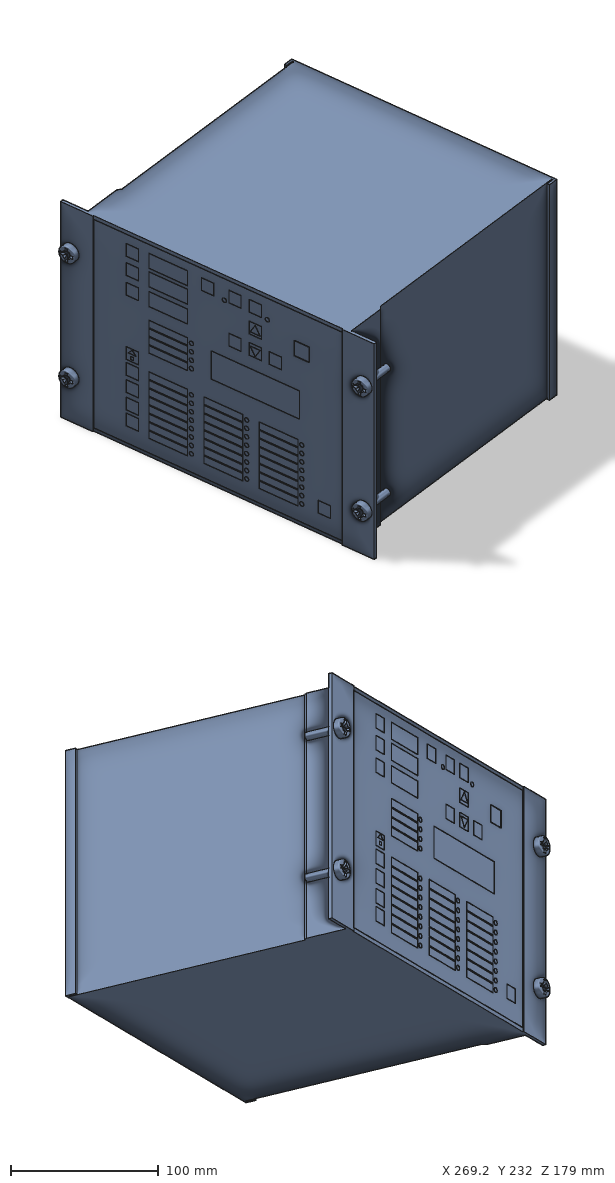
import cadquery as cq

head_height = 5.0
height = 179.0
body_width = 221.8
front_width = 226.0
front_depth = 34.2
front_taper = 3.0
flange_width = 269.2
flange_thickness = 2.7
case_depth = 232.0 - head_height

cover_width = 227.5
cover_thickness = 2.0
cover_lip_depth = 8.0
cover_inner_depth = case_depth - cover_thickness

channel_depth = 0.8
relief = 0.3
channel_width = 213.7
panel_width = 212.7
panel_height = 173.0
sheet_y = channel_depth - relief
key_face_y = sheet_y - relief
mark_face_y = key_face_y - relief

screw_x = 125.7
screw_z = 51.7
shank_diameter = 6.0
shank_end_y = 25.5
head_diameter = 14.0
head_rounding = 1.0
cross_length = 10.8
cross_width = 2.5
cross_depth = 2.7
recess_diameter = 7.0
recess_tip_diameter = 2.7

key_size = 10.5
left_key_x = -73.2
left_key_rows = [73.8, 58.0, 41.5, -11.8, -25.0, -39.3, -53.8, -67.0]
home_key_z = left_key_rows[3]
top_key_z = left_key_rows[0]
top_key_columns = [-8.5, 14.8, 32.3]
arrow_key_x = top_key_columns[2]
up_key_z = 55.7
down_key_z = 38.0
side_key_columns = [top_key_columns[1], 49.5]
corner_key_x = 91.5
corner_key_z = left_key_rows[-1]
large_key_x = 72.1
large_key_size = 12.7
large_key_relief = 0.5

arrow_width = 8.5
arrow_height = 7.0
arrow_base_offset = 3.0
home_roof_width = 6.7
home_roof_height = 3.5
home_roof_lift = 1.0
home_block_size = 2.5
home_block_drop = 2.2

readout_width = 33.0
readout_height = 12.5
readout_x = -42.5
readout_rows = [73.2, 58.0, 41.5]
display_width = 75.6
display_height = 23.5
display_x = arrow_key_x
display_z = 10.2

label_width = readout_width
label_height = 6.2
label_pitch = 7.0
label_column_pitch = 47.5
lamp_diameter = 3.5
lamp_offset = 20.0
upper_label_count = 4
upper_label_z = display_z
lower_label_count = 8
lower_label_z = -46.5
lower_label_columns = 3
key_lamp_positions = [(5.7, 69.0), (42.5, 69.0)]


def block(width, y_start, y_end, block_height=height, x=0, z=0):
    """Box centred on (x, z) and running from y_start to y_end."""
    size_y = y_end - y_start
    return cq.Workplane("XY").box(width, size_y, block_height).translate((x, y_start + size_y / 2, z))


def rod(diameter, y_start, y_end, x=0, z=0):
    """Cylinder along Y centred on (x, z)."""
    plane = cq.Workplane("XZ", origin=(x, y_start, z))
    return plane.circle(diameter / 2).extrude(y_start - y_end)


def make_case():
    """Body with its wider, tapered front end, and the mounting flange."""
    half_front = front_width / 2
    half_body = body_width / 2
    taper_end = front_depth + front_taper
    outline = [
        (-half_front, 0),
        (half_front, 0),
        (half_front, front_depth),
        (half_body, taper_end),
        (half_body, cover_inner_depth),
        (-half_body, cover_inner_depth),
        (-half_body, taper_end),
        (-half_front, front_depth),
    ]
    body = cq.Workplane("XY").polyline(outline).close().extrude(height / 2, both=True)
    return body.union(block(flange_width, 0, flange_thickness))


def make_cover():
    """Rear plate with a forward lip along each side."""
    lip_start = case_depth - cover_lip_depth
    cover = block(cover_width, lip_start, case_depth)
    return cover.cut(block(cover_width - 2 * cover_thickness, lip_start, cover_inner_depth))


def make_recess_cone(x, z):
    """Tapered centre of a screw's cross recess."""
    mouth = cq.Workplane("XZ", origin=(x, -head_height, z)).circle(recess_diameter / 2)
    return mouth.workplane(offset=-cross_depth).circle(recess_tip_diameter / 2).loft()


def make_screw(x, z):
    """Pan-head screw with a cross recess."""
    head = rod(head_diameter, -head_height, 0, x, z).faces("<Y").edges().fillet(head_rounding)
    recess_end = cross_depth - head_height
    for width, length in ((cross_length, cross_width), (cross_width, cross_length)):
        head = head.cut(block(width, -head_height, recess_end, length, x, z))
    head = head.cut(make_recess_cone(x, z))
    return head.union(rod(shank_diameter, 0, shank_end_y, x, z))


def tile(width, tile_height, x, z, thickness=relief):
    """Raised rectangle on the panel sheet."""
    return block(width, sheet_y - thickness, sheet_y, tile_height, x, z)


def key(x, z, size=key_size, thickness=relief):
    return tile(size, size, x, z, thickness)


def lamp(x, z):
    return rod(lamp_diameter, key_face_y, sheet_y, x, z)


def triangle(x, base_z, width, rise):
    """Triangle raised on a key; a negative rise points it down."""
    corners = [(x - width / 2, base_z), (x + width / 2, base_z), (x, base_z + rise)]
    plane = cq.Workplane("XZ", origin=(0, key_face_y, 0))
    return plane.polyline(corners).close().extrude(relief)


def label_column(x, middle_z, count):
    """Stack of label strips with their lamps."""
    marks = []
    for row in range(count):
        z = middle_z + (row - (count - 1) / 2) * label_pitch
        marks.append(tile(label_width, label_height, x, z))
        marks.append(lamp(x + lamp_offset, z))
    return marks


def panel_marks():
    """Every key, window, label, lamp and arrow of the front panel."""
    marks = [key(left_key_x, z) for z in left_key_rows]
    marks += [key(x, top_key_z) for x in top_key_columns]
    marks += [key(x, down_key_z) for x in side_key_columns]
    marks += [key(arrow_key_x, z) for z in (up_key_z, down_key_z)]
    marks.append(key(corner_key_x, corner_key_z))
    marks.append(key(large_key_x, up_key_z, large_key_size, large_key_relief))

    marks += [tile(readout_width, readout_height, readout_x, z) for z in readout_rows]
    marks.append(tile(display_width, display_height, display_x, display_z))

    marks += label_column(readout_x, upper_label_z, upper_label_count)
    for column in range(lower_label_columns):
        x = readout_x + column * label_column_pitch
        marks += label_column(x, lower_label_z, lower_label_count)
    marks += [lamp(x, z) for x, z in key_lamp_positions]

    marks.append(triangle(arrow_key_x, up_key_z - arrow_base_offset, arrow_width, arrow_height))
    marks.append(triangle(arrow_key_x, down_key_z + arrow_base_offset, arrow_width, -arrow_height))
    roof_z = home_key_z + home_roof_lift
    marks.append(triangle(left_key_x, roof_z, home_roof_width, home_roof_height))
    block_z = home_key_z - home_block_drop
    marks.append(block(home_block_size, mark_face_y, key_face_y, home_block_size, left_key_x, block_z))
    return marks


result = make_case().union(make_cover())
result = result.cut(block(channel_width, 0, channel_depth))
result = result.union(block(panel_width, sheet_y, channel_depth, panel_height))
result = result.union(cq.Workplane("XY").newObject([mark.val() for mark in panel_marks()]).combine())
for side_x in (-screw_x, screw_x):
    for side_z in (-screw_z, screw_z):
        result = result.union(make_screw(side_x, side_z))